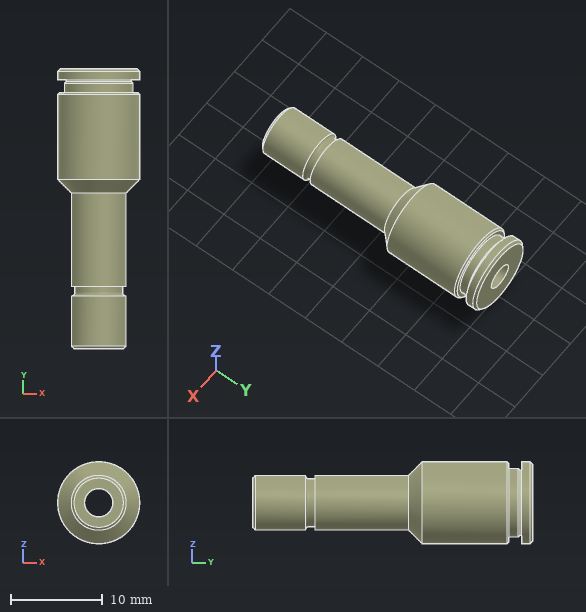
import cadquery as cq
import math

length = 30.6
body_radius = 4.5
stem_radius = 3.0
bore_radius = 1.53

flange_thickness = 1.22
flange_chamfer = 0.3

neck_radius = 3.75
neck_chamfer = 0.18
neck_step_width = 0.18
body_start_from_flange_face = 2.6

body_chamfer = 0.2
body_length = 9.5

groove_radius = 2.63
groove_floor_width = 0.65
tip_land_length = 5.78
tip_chamfer = 0.3

groove_depth = stem_radius - groove_radius
flange_back = length - flange_thickness
neck_chamfer_start = flange_back - neck_step_width
body_top = length - body_start_from_flange_face
shoulder_top = body_top - body_length
shoulder_bottom = shoulder_top - (body_radius - stem_radius)
groove_bottom = tip_land_length + groove_depth
groove_top = groove_bottom + groove_floor_width
neck_step_radius = neck_radius - neck_chamfer
arc_offset = groove_depth * math.sqrt(0.5)
arc_middle = (stem_radius - arc_offset, groove_bottom - arc_offset)

tip_outline = [
    (bore_radius, 0),
    (stem_radius - tip_chamfer, 0),
    (stem_radius, tip_chamfer),
    (stem_radius, tip_land_length),
]

upper_outline = [
    (groove_radius, groove_top),
    (stem_radius, groove_top),
    (stem_radius, shoulder_bottom),
    (body_radius, shoulder_top),
    (body_radius, body_top - body_chamfer),
    (body_radius - body_chamfer, body_top),
    (neck_radius, body_top),
    (neck_radius, neck_chamfer_start - neck_chamfer),
    (neck_step_radius, neck_chamfer_start),
    (neck_step_radius, flange_back),
    (body_radius, flange_back),
    (body_radius, length - flange_chamfer),
    (body_radius - flange_chamfer, length),
    (bore_radius, length),
]

half_section = (
    cq.Workplane("XY")
    .polyline(tip_outline)
    .threePointArc(arc_middle, (groove_radius, groove_bottom))
    .polyline(upper_outline, includeCurrent=True)
    .close()
)

result = half_section.revolve(360, (0, 0, 0), (0, 1, 0))